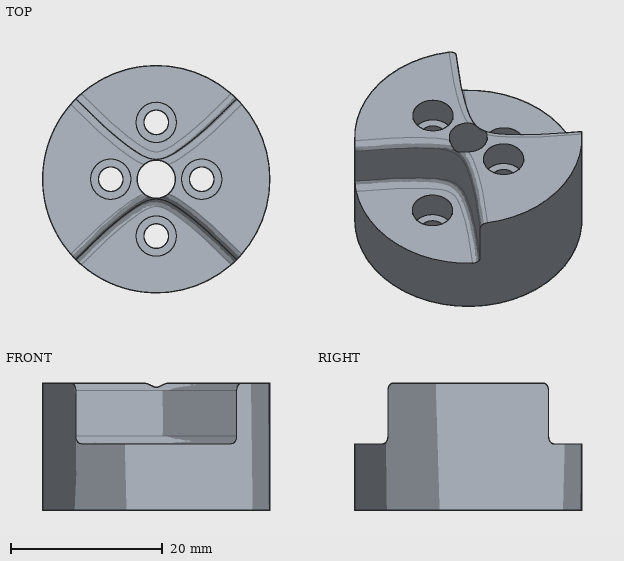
import cadquery as cq
import math

diameter = 30.0
height = 16.8
step_depth = 8.0
radius = diameter / 2
step_height = height - step_depth

wall_apex = 2.6
wall_bend_x = 3.6
wall_bend_y = 4.25
edge_radius = 1.0
overrun = 6.0

bore_diameter = 5.0
screw_diameter = 3.2
counterbore_diameter = 5.3
counterbore_depth = 4.0
bridge_hole_offset = 6.0
platform_hole_offset = 7.5


def platform_cut(side):
    """Volume above the low platform on the +Y (side=1) or -Y (side=-1) side."""
    rim = radius * math.sqrt(0.5)
    outer = rim + overrun
    profile = (
        cq.Workplane("XY", origin=(0, 0, step_height))
        .moveTo(-outer, side * outer)
        .lineTo(-rim, side * rim)
        .spline(
            [
                (-wall_bend_x, side * wall_bend_y),
                (0, side * wall_apex),
                (wall_bend_x, side * wall_bend_y),
                (rim, side * rim),
            ],
            tangents=[(1, -side), (1, side)],
            includeCurrent=True,
        )
        .lineTo(outer, side * outer)
        .close()
    )
    return profile.extrude(step_depth)


def counterbored_holes(body, points, top):
    """Through holes with counterbores sunk from the face at height top."""
    return (
        body.copyWorkplane(cq.Workplane("XY", origin=(0, 0, top)))
        .pushPoints(points)
        .cboreHole(screw_diameter, counterbore_diameter, counterbore_depth)
    )


body = cq.Workplane("XY").circle(radius).extrude(height)
for side in (1, -1):
    body = body.cut(platform_cut(side))

wall_edges = body.edges("not(%CIRCLE or %LINE)")
body = wall_edges.fillet(edge_radius)

body = body.cut(cq.Workplane("XY").circle(bore_diameter / 2).extrude(height))

bridge_points = [(-bridge_hole_offset, 0), (bridge_hole_offset, 0)]
platform_points = [(0, -platform_hole_offset), (0, platform_hole_offset)]
body = counterbored_holes(body, bridge_points, height)
result = counterbored_holes(body, platform_points, step_height)